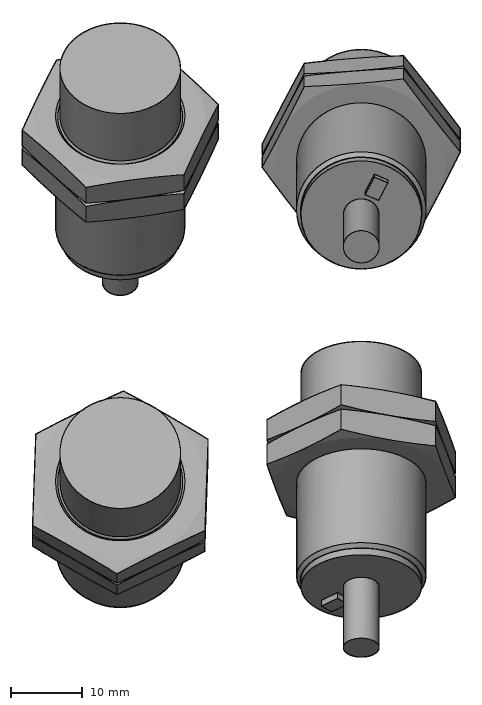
import cadquery as cq
import math

total_height = 45.0
cable_length = 10.0
head_length = 10.0
head_base_z = total_height - head_length

cable_diameter = 5.0
core_diameter = 16.8
shell_diameter = 18.0
end_disc_height = 1.1
shell_bottom_diameter = 16.9
bottom_chamfer = (shell_diameter - shell_bottom_diameter) / 2
top_chamfer = (shell_diameter - core_diameter) / 2

indicator_width = 2.05
indicator_length = 3.0
indicator_height = 0.95
indicator_center_y = -5.0

nut_count = 2
nut_height = 4.0
nut_across_flats = 24.0
nut_across_corners = nut_across_flats / math.cos(math.pi / 6)
nut_face_diameter = 23.7
nut_bevel_angle = math.radians(10)
nut_bore_diameter = 16.9
bore_chamfer = (shell_diameter - nut_bore_diameter) / 2


def cylinder(diameter, bottom_z, top_z):
    return cq.Workplane("XY").workplane(offset=bottom_z).circle(diameter / 2).extrude(top_z - bottom_z)


def make_sensor():
    """Cable, core, chamfered shell and indicator block as one solid."""
    cable = cylinder(cable_diameter, 0, cable_length)
    core = cylinder(core_diameter, cable_length, total_height)
    shell = cylinder(shell_diameter, cable_length + end_disc_height, head_base_z)
    shell = shell.faces("<Z").chamfer(bottom_chamfer)
    shell = shell.faces(">Z").chamfer(top_chamfer)
    indicator = (
        cq.Workplane("XY")
        .workplane(offset=cable_length - indicator_height)
        .center(0, indicator_center_y)
        .rect(indicator_width, indicator_length)
        .extrude(indicator_height)
    )
    return core.union(shell).union(cable).union(indicator)


def make_nut(bottom_z):
    """Hexagonal nut with beveled corners and a bore chamfered at both ends."""
    face_radius = nut_face_diameter / 2
    corner_radius = nut_across_corners / 2
    bevel_drop = (corner_radius - face_radius) * math.tan(nut_bevel_angle)
    hexagon = (
        cq.Workplane("XY")
        .polygon(6, nut_across_corners)
        .extrude(nut_height)
        .rotate((0, 0, 0), (0, 0, 1), 30)
    )
    bevel_envelope = (
        cq.Workplane("XZ")
        .moveTo(0, 0)
        .lineTo(face_radius, 0)
        .lineTo(corner_radius, bevel_drop)
        .lineTo(corner_radius, nut_height - bevel_drop)
        .lineTo(face_radius, nut_height)
        .lineTo(0, nut_height)
        .close()
        .revolve(360, (0, 0, 0), (0, 1, 0))
    )
    bore = (
        cq.Workplane("XZ")
        .moveTo(0, 0)
        .lineTo(shell_diameter / 2, 0)
        .lineTo(nut_bore_diameter / 2, bore_chamfer)
        .lineTo(nut_bore_diameter / 2, nut_height - bore_chamfer)
        .lineTo(shell_diameter / 2, nut_height)
        .lineTo(0, nut_height)
        .close()
        .revolve(360, (0, 0, 0), (0, 1, 0))
    )
    return hexagon.intersect(bevel_envelope).cut(bore).translate((0, 0, bottom_z))


sensor = make_sensor()
nuts = [make_nut(head_base_z - (i + 1) * nut_height) for i in range(nut_count)]

for nut in nuts:
    sensor = sensor.cut(nut)

result = cq.Compound.makeCompound([*sensor.solids().vals(), *[nut.val() for nut in nuts]])